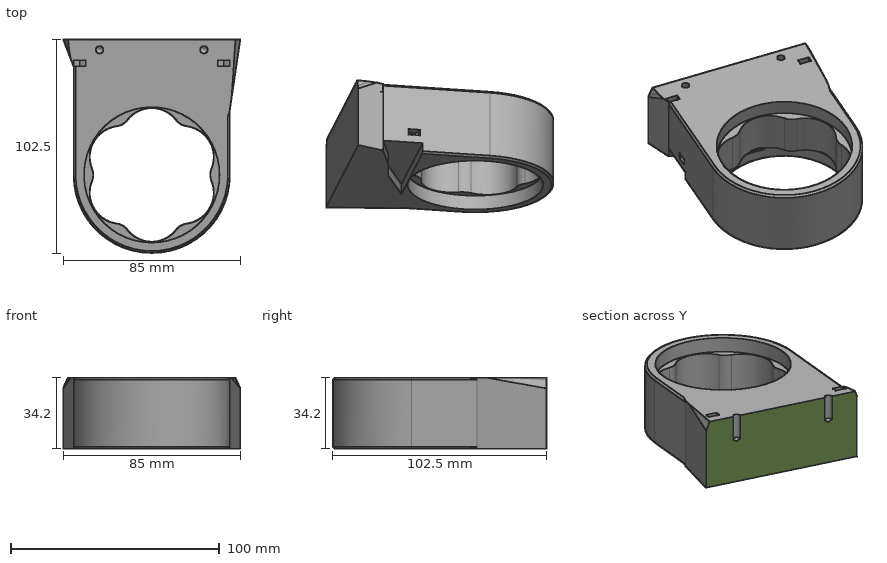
import cadquery as cq
import math

height = 34.2
nose_radius = 37.5
back_y = 65.0
edge_chamfer = 1.0

flare_half_width = 42.5
left_flare_front_y = 52.0
right_flare_front_y = 31.4
left_flare_toe = 0.0
right_flare_toe = 3.5

recess_radius = 32.5
ledge_z = 27.0
lobe_floor_z = 7.0
lobe_count = 6
lobe_reach = 32.0
lobe_radius = 14.8
lobe_tip_reach = 28.0

drill_radius = 1.8
drill_depth = 12.0
drill_x = 25.0
drill_y = 60.0
drill_point_angle = 118.0

slot_length = 5.65
slot_width = 2.9
slot_wall_depth = 4.0
slot_floor_angle = 30.0
top_slot_x = 34.55
top_slot_y = 53.45
side_slot_y = 36.75
side_slot_z = 10.45

pocket_depth = 5.1
pocket_front_y = 32.7
pocket_outline = [
    (-nose_radius, pocket_front_y),
    (-nose_radius, left_flare_front_y),
    (-20.0, 46.3),
    (-16.7, 45.5),
    (-4.8, 43.4),
    (18.3, pocket_front_y),
]

left_bevels = [
    [(-40.15, back_y, height), (-39.5, 59.5, height), (-41.9, back_y, 30.6)],
    [(-39.5, 59.5, height), (-38.7, 55.1, height), (-flare_half_width, back_y, 29.0)],
]
right_bevels = [
    [(40.1, back_y, height), (39.05, 49.0, height), (41.9, back_y, 30.6)],
    [(39.05, 49.0, height), (38.15, 35.8, height), (flare_half_width, back_y, 29.0)],
]
bevel_tool_size = 60.0


def make_body():
    body = (
        cq.Workplane("XY")
        .moveTo(-nose_radius, back_y)
        .lineTo(-nose_radius, 0)
        .threePointArc((0, -nose_radius), (nose_radius, 0))
        .lineTo(nose_radius, back_y)
        .close()
        .extrude(height)
    )
    return body.faces("<Z or >Z").edges("not >Y").chamfer(edge_chamfer)


def make_flare(side, front_y, flare_toe, bevels):
    outline = [
        (0, back_y),
        (side * flare_half_width, back_y),
        (side * nose_radius, front_y),
        (side * (nose_radius - edge_chamfer), front_y - flare_toe),
        (0, front_y - flare_toe),
    ]
    flare = cq.Workplane("XY").polyline(outline).close().extrude(height)
    for points in bevels:
        flare = flare.cut(make_bevel_tool(points))
    return flare


def make_bevel_tool(points):
    start, along, down = [cq.Vector(*point) for point in points]
    normal = (along - start).cross(down - start).normalized()
    if normal.z < 0:
        normal = normal * -1
    plane = cq.Plane(origin=start, xDir=along - start, normal=normal)
    return cq.Workplane(plane).rect(2 * bevel_tool_size, 2 * bevel_tool_size).extrude(bevel_tool_size)


def polar(radius, angle):
    return (radius * math.cos(angle), radius * math.sin(angle))


def lobed_wire(z):
    """Concave lobes joined by tangent convex tips that point at the axis."""
    half_pitch = math.pi / lobe_count
    lobe_centre = lobe_reach - lobe_radius
    along = lobe_centre * math.cos(half_pitch)
    across = lobe_centre * math.sin(half_pitch)
    gap = lobe_tip_reach - along
    tip_radius = (gap**2 + across**2 - lobe_radius**2) / (2 * (lobe_radius - gap))
    share = lobe_radius / (lobe_radius + tip_radius)
    join_x = along + share * (lobe_tip_reach + tip_radius - along)
    join_y = across * (1 - share)
    join_radius = math.hypot(join_x, join_y)
    join_angle = math.atan2(join_y, join_x)

    wire = cq.Workplane("XY", origin=(0, 0, z)).moveTo(*polar(join_radius, -join_angle))
    for index in range(lobe_count):
        tip_angle = 2 * half_pitch * index
        wire = wire.threePointArc(
            polar(lobe_tip_reach, tip_angle), polar(join_radius, tip_angle + join_angle)
        )
        wire = wire.threePointArc(
            polar(lobe_reach, tip_angle + half_pitch),
            polar(join_radius, tip_angle + 2 * half_pitch - join_angle),
        )
    return wire.close()


def make_bore():
    upper = cq.Workplane("XY", origin=(0, 0, ledge_z)).circle(recess_radius).extrude(height - ledge_z)
    middle = lobed_wire(lobe_floor_z).extrude(ledge_z - lobe_floor_z)
    lower = cq.Workplane("XY").circle(recess_radius).extrude(lobe_floor_z)
    return upper.union(middle).union(lower)


def make_drill(x):
    point_height = drill_radius / math.tan(math.radians(drill_point_angle / 2))
    floor_z = height - drill_depth
    profile = [
        (0, height),
        (drill_radius, height),
        (drill_radius, floor_z),
        (0, floor_z - point_height),
    ]
    return (
        cq.Workplane("XZ")
        .polyline(profile)
        .close()
        .revolve(360, (0, 0), (0, 1))
        .translate((x, drill_y, 0))
    )


def make_slot():
    """Slot cutter with its mouth centred on the origin, its length along X and its depth along -Z."""
    half_length = slot_length / 2
    centre_depth = slot_wall_depth + half_length * math.tan(math.radians(slot_floor_angle))
    profile = [
        (-half_length, 0),
        (half_length, 0),
        (half_length, -slot_wall_depth),
        (0, -centre_depth),
        (-half_length, -slot_wall_depth),
    ]
    return cq.Workplane("XZ").polyline(profile).close().extrude(slot_width / 2, both=True)


def make_top_slot(x):
    return make_slot().translate((x, top_slot_y, height))


def make_side_slot():
    lying = make_slot().rotate((0, 0, 0), (1, 0, 0), 90)
    upright = lying.rotate((0, 0, 0), (0, 0, 1), -90)
    return upright.translate((-nose_radius, side_slot_y, side_slot_z))


def make_pocket():
    return cq.Workplane("XY").polyline(pocket_outline).close().extrude(pocket_depth)


result = make_body()
result = result.union(make_flare(-1, left_flare_front_y, left_flare_toe, left_bevels))
result = result.union(make_flare(1, right_flare_front_y, right_flare_toe, right_bevels))
result = result.cut(make_bore())
for sign in (-1, 1):
    result = result.cut(make_drill(sign * drill_x))
    result = result.cut(make_top_slot(sign * top_slot_x))
result = result.cut(make_side_slot())
result = result.cut(make_pocket())